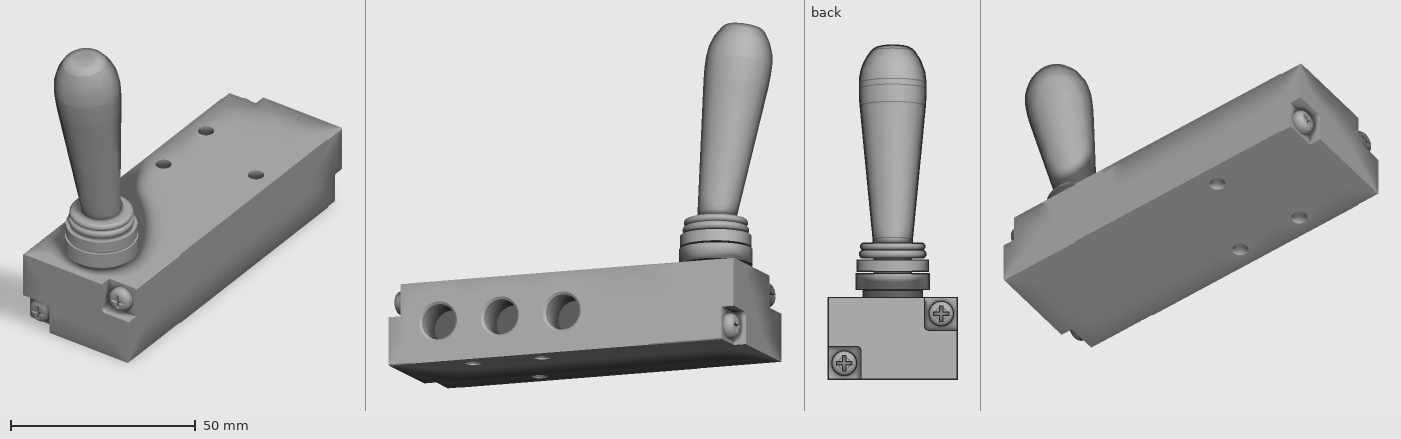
import cadquery as cq
import math


WIDTH = 35.0
HEIGHT = 22.2
FRONT_CAP_LENGTH = 24.25
BODY_LENGTH = 69.5
REAR_CAP_LENGTH = 6.7
TOTAL_LENGTH = FRONT_CAP_LENGTH + BODY_LENGTH + REAR_CAP_LENGTH
CAP_EDGE_CHAMFER = 0.3

POCKET_SIZE = 8.9
POCKET_DEPTH = 3.5
POCKET_CORNER_RADIUS = 1.2
SCREW_INSET = 4.4
SCREW_HEAD_RADIUS = 3.35
SCREW_HEAD_HEIGHT = 2.75
SCREW_HEAD_ROUND = 1.75
CROSS_SPAN = 4.2
CROSS_SLOT_WIDTH = 0.9
CROSS_DEPTH = 1.5

PORT_PITCH = 18.0
PORT_MIDDLE_Y = TOTAL_LENGTH - 32.4
PORT_DIAMETER = 9.7
PORT_MOUTH_DIAMETER = 11.0
PORT_CHAMFER = (PORT_MOUTH_DIAMETER - PORT_DIAMETER) / 2
PORT_DEPTH = 10.0

MOUNT_HOLE_DIAMETER = 4.4
MOUNT_HOLE_X = 11.75
MOUNT_HOLE_SPREAD = 10.0

LEVER_Y = FRONT_CAP_LENGTH / 2
NECK_RADIUS = 8.1
NECK_HEIGHT = 2.1
NECK_CHAMFER = 0.3
NUT_RADIUS = 9.95
NUT_HEIGHT = 4.3
RING_RADIUS = 9.7
RING_HEIGHT = 3.1
STEM_RADIUS = 5.1
LOWER_GAP = 0.65
UPPER_GAP = 0.45
LOWER_BEAD_RADIUS = 9.0
LOWER_BEAD_HEIGHT = 2.2
UPPER_BEAD_RADIUS = 8.7
UPPER_BEAD_HEIGHT = 1.9
STACK_HEIGHT = (
    NECK_HEIGHT + NUT_HEIGHT + LOWER_GAP + RING_HEIGHT + UPPER_GAP + LOWER_BEAD_HEIGHT + UPPER_BEAD_HEIGHT
)

HANDLE_TILT = 8.7
HANDLE_PIVOT_DEPTH = 1.0
HANDLE_ROOT_DEPTH = 2.0
HANDLE_ROOT_RADIUS = 5.3
CONE_START = 0.75
CONE_END = 37.4
CONE_HALF_ANGLE = 5.5
GRIP_START = 42.1
GRIP_END = 43.7
GRIP_RADIUS = 9.05
DOME_END = 52.4
DOME_END_RADIUS = 5.9
TIP_HEIGHT = 53.58
TIP_RADIUS = 2.4


def make_screw_head(x, z):
    """Pan head with a cross recess, standing out from its pocket floor towards -Y."""
    cross_floor = SCREW_HEAD_HEIGHT - CROSS_DEPTH
    head = cq.Workplane("XY").circle(SCREW_HEAD_RADIUS).extrude(SCREW_HEAD_HEIGHT)
    head = head.faces(">Z").edges().fillet(SCREW_HEAD_ROUND)
    for length, width in [(CROSS_SPAN, CROSS_SLOT_WIDTH), (CROSS_SLOT_WIDTH, CROSS_SPAN)]:
        slot = cq.Workplane("XY").workplane(offset=cross_floor).rect(length, width).extrude(CROSS_DEPTH)
        head = head.cut(slot)
    return head.rotate((0, 0, 0), (1, 0, 0), 90).translate((x, POCKET_DEPTH, z))


def make_cap(length):
    """End cap with its outer face at Y = 0 and screws in the upper +X and lower -X corners."""
    cap = cq.Workplane("XY").box(WIDTH, length, HEIGHT, centered=(True, False, False))
    cap = cap.edges("|Y").chamfer(CAP_EDGE_CHAMFER)
    for side, corner_z in [(1, HEIGHT), (-1, 0)]:
        corner_x = side * WIDTH / 2
        pocket = (
            cq.Workplane("XY")
            .box(2 * POCKET_SIZE, POCKET_DEPTH, 2 * POCKET_SIZE, centered=(True, False, True))
            .edges("|Y")
            .fillet(POCKET_CORNER_RADIUS)
            .translate((corner_x, 0, corner_z))
        )
        screw = make_screw_head(corner_x - side * SCREW_INSET, corner_z - side * SCREW_INSET)
        cap = cap.cut(pocket).union(screw)
    return cap


def make_body():
    """Middle block with three ports in the -X side and three vertical through holes."""
    body = (
        cq.Workplane("XY")
        .box(WIDTH, BODY_LENGTH, HEIGHT, centered=(True, False, False))
        .translate((0, FRONT_CAP_LENGTH, 0))
    )
    for step in (-1, 0, 1):
        port = (
            cq.Workplane("YZ", origin=(-WIDTH / 2, PORT_MIDDLE_Y + step * PORT_PITCH, HEIGHT / 2))
            .circle(PORT_DIAMETER / 2)
            .extrude(PORT_DEPTH)
        )
        mouth = cq.Solid.makeCone(
            PORT_MOUTH_DIAMETER / 2,
            PORT_DIAMETER / 2,
            PORT_CHAMFER,
            cq.Vector(-WIDTH / 2, PORT_MIDDLE_Y + step * PORT_PITCH, HEIGHT / 2),
            cq.Vector(1, 0, 0),
        )
        body = body.cut(port).cut(cq.Workplane(mouth))
    hole_centres = [
        (MOUNT_HOLE_X, PORT_MIDDLE_Y),
        (-MOUNT_HOLE_X, PORT_MIDDLE_Y - MOUNT_HOLE_SPREAD),
        (-MOUNT_HOLE_X, PORT_MIDDLE_Y + MOUNT_HOLE_SPREAD),
    ]
    holes = cq.Workplane("XY").pushPoints(hole_centres).circle(MOUNT_HOLE_DIAMETER / 2).extrude(HEIGHT)
    return body.cut(holes)


def make_collar_stack():
    """Neck, nut, ring and two rounded beads stacked from Z = 0."""
    nut_base = NECK_HEIGHT
    nut_top = nut_base + NUT_HEIGHT
    ring_base = nut_top + LOWER_GAP
    ring_top = ring_base + RING_HEIGHT
    lower_bead_base = ring_top + UPPER_GAP
    upper_bead_base = lower_bead_base + LOWER_BEAD_HEIGHT
    lower_round = LOWER_BEAD_HEIGHT / 2
    upper_round = UPPER_BEAD_HEIGHT / 2
    profile = (
        cq.Workplane("XZ")
        .lineTo(NECK_RADIUS, 0)
        .lineTo(NECK_RADIUS, nut_base - NECK_CHAMFER)
        .lineTo(NECK_RADIUS - NECK_CHAMFER, nut_base)
        .lineTo(NUT_RADIUS, nut_base)
        .lineTo(NUT_RADIUS, nut_top)
        .lineTo(STEM_RADIUS, nut_top)
        .lineTo(STEM_RADIUS, ring_base)
        .lineTo(RING_RADIUS, ring_base)
        .lineTo(RING_RADIUS, ring_top)
        .lineTo(STEM_RADIUS, ring_top)
        .lineTo(STEM_RADIUS, lower_bead_base)
        .lineTo(LOWER_BEAD_RADIUS - lower_round, lower_bead_base)
        .threePointArc(
            (LOWER_BEAD_RADIUS, lower_bead_base + lower_round),
            (LOWER_BEAD_RADIUS - lower_round, upper_bead_base),
        )
        .lineTo(UPPER_BEAD_RADIUS - upper_round, upper_bead_base)
        .threePointArc(
            (UPPER_BEAD_RADIUS, upper_bead_base + upper_round),
            (UPPER_BEAD_RADIUS - upper_round, STACK_HEIGHT),
        )
        .lineTo(0, STACK_HEIGHT)
        .close()
    )
    return profile.revolve(360, (0, 0, 0), (0, 1, 0))


def make_handle():
    """Tapered grip with a domed end, leaning towards -Y about a point just below the stack top."""
    pivot = (0, 0, -HANDLE_PIVOT_DEPTH)
    pivot_axis_end = (1, 0, -HANDLE_PIVOT_DEPTH)
    slope = math.radians(CONE_HALF_ANGLE)
    cone_end_radius = HANDLE_ROOT_RADIUS + (CONE_END - CONE_START) * math.tan(slope)
    profile = (
        cq.Workplane("XZ")
        .moveTo(0, -HANDLE_ROOT_DEPTH)
        .lineTo(HANDLE_ROOT_RADIUS, -HANDLE_ROOT_DEPTH)
        .lineTo(HANDLE_ROOT_RADIUS, CONE_START)
        .lineTo(cone_end_radius, CONE_END)
        .tangentArcPoint((GRIP_RADIUS, GRIP_START), relative=False)
        .lineTo(GRIP_RADIUS, GRIP_END)
        .tangentArcPoint((DOME_END_RADIUS, DOME_END), relative=False)
        .tangentArcPoint((TIP_RADIUS, TIP_HEIGHT), relative=False)
        .lineTo(0, TIP_HEIGHT)
        .close()
    )
    handle = profile.revolve(360, (0, 0, 0), (0, 1, 0))
    return handle.rotate(pivot, pivot_axis_end, HANDLE_TILT).translate((0, 0, STACK_HEIGHT))


def make_lever():
    """Collar stack and leaning handle as one solid, standing on the front cap."""
    return make_collar_stack().union(make_handle()).translate((0, LEVER_Y, HEIGHT))


front_cap = make_cap(FRONT_CAP_LENGTH)
rear_cap = make_cap(REAR_CAP_LENGTH).rotate((0, 0, 0), (0, 0, 1), 180).translate((0, TOTAL_LENGTH, 0))
body = make_body()
lever = make_lever()

result = cq.Compound.makeCompound([front_cap.val(), body.val(), rear_cap.val(), lever.val()])